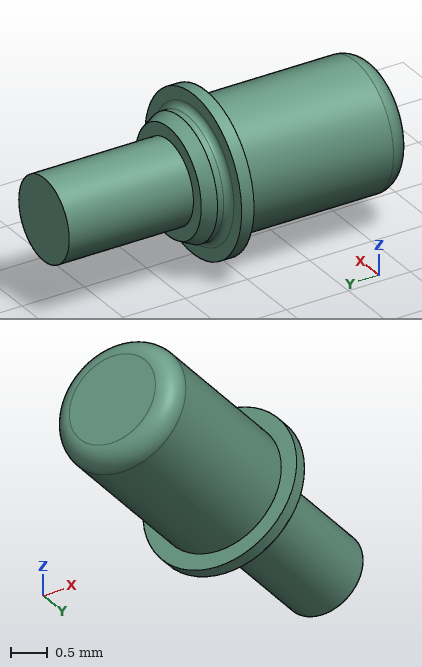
import cadquery as cq

body_radius = 1.0
body_length = 2.7
nose_fillet = 0.3

flange_radius = 1.25
flange_thickness = 0.2

collar_radius = 0.95
collar_length = 0.4
collar_fillet = 0.1
taper_length = 0.2
taper_end_radius = 0.85

stem_radius = 0.65
stem_length = 2.0

nose_y = -body_length
flange_y = flange_thickness
collar_end_y = flange_y + collar_length
taper_start_y = collar_end_y - taper_length
stem_end_y = collar_end_y + stem_length


def half_profile():
    """Closed outline in the XY plane, revolved about Y to give the pin."""
    return (
        cq.Workplane("XY")
        .moveTo(0, nose_y)
        .lineTo(body_radius - nose_fillet, nose_y)
        .radiusArc((body_radius, nose_y + nose_fillet), -nose_fillet)
        .lineTo(body_radius, 0)
        .lineTo(flange_radius, 0)
        .lineTo(flange_radius, flange_y)
        .lineTo(collar_radius + collar_fillet, flange_y)
        .radiusArc((collar_radius, flange_y + collar_fillet), collar_fillet)
        .lineTo(collar_radius, taper_start_y)
        .lineTo(taper_end_radius, collar_end_y)
        .lineTo(stem_radius, collar_end_y)
        .lineTo(stem_radius, stem_end_y)
        .lineTo(0, stem_end_y)
        .close()
    )


result = half_profile().revolve(360, (0, 0, 0), (0, 1, 0))